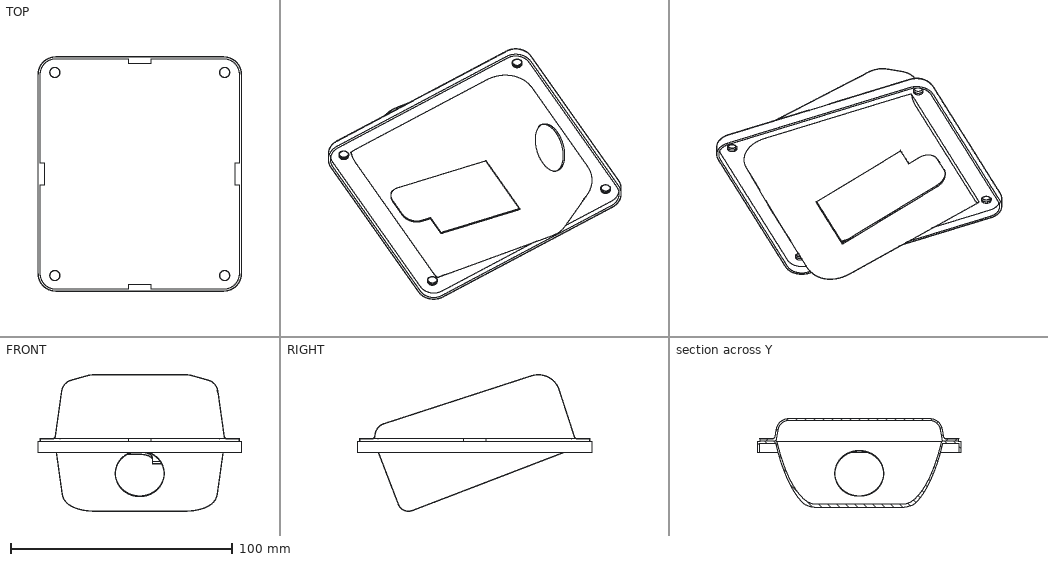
import cadquery as cq
import math

FLANGE_X = 91.9
FLANGE_Y = 105.9
FLANGE_THICKNESS = 5.0
FLANGE_CORNER_RADIUS = 8.0
PLATE_THICKNESS = 1.3
PLATE_INSET = 1.0
PLATE_TOP = FLANGE_THICKNESS + PLATE_THICKNESS
NOTCH_WIDTH = 10.0
NOTCH_DEPTH = 2.0
SCREW_HOLE_DIAMETER = 4.5
SCREW_HOLE_X = 38.3
SCREW_HOLE_Y = 45.9

WALL = 1.0
SIDE_DRAFT = math.tan(math.radians(8))

DOME_HALF_X = 38.3
DOME_HALF_Y = 45.3
DOME_FRONT_CHAMFER = 9.7
DOME_BACK_CHAMFER = 10.5
DOME_TILT = 18.0
ROOF_MID_HEIGHT = 26.4
DOME_BACK_RADIUS = 10.0
DOME_FRONT_RADIUS = 6.0
DOME_ROOT_RADIUS = 1.2

TUB_HALF_X = 37.7
TUB_FRONT_Y = -43.5
TUB_BACK_Y = 42.4
TUB_TILT = 21.0
FLOOR_ZERO_Y = 40.2
TUB_CORNER_RADIUS = 15.0
TUB_FLOOR_RADIUS = 5.0

CABLE_HOLE_DIAMETER = 22.0
CABLE_HOLE_Z = -9.6
FLOOR_OPENING_HALF_X = 14.8
FLOOR_OPENING_FRONT_Y = -14.8
FLOOR_OPENING_STEP_Y = 26.9
FLOOR_OPENING_BACK_Y = 38.1
FLOOR_OPENING_NARROW_X = 5.7
FLOOR_OPENING_CORNER_RADIUS = 6.4

BLANK_TOP = 47.7
BLANK_BOTTOM = -42.4
CUT_REACH = 211.8
TOLERANCE = 0.01


def rounded_slab(inset, bottom, thickness):
    """Rectangular slab with rounded corners, inset from the flange outline."""
    return (
        cq.Workplane("XY", origin=(0, 0, bottom))
        .rect(FLANGE_X - 2 * inset, FLANGE_Y - 2 * inset)
        .extrude(thickness)
        .edges("|Z")
        .fillet(FLANGE_CORNER_RADIUS - inset)
    )


def screw_holes():
    """Cylinders for the four screw holes through the flange and the plate."""
    return (
        cq.Workplane("XY")
        .rect(2 * SCREW_HOLE_X, 2 * SCREW_HOLE_Y, forConstruction=True)
        .vertices()
        .circle(SCREW_HOLE_DIAMETER / 2)
        .extrude(PLATE_TOP)
    )


def flat_sided_solid(lower, upper, lower_z, upper_z):
    """Solid with flat sides between two horizontal polygons that have matching parallel edges."""
    lower_points = [cq.Vector(x, y, lower_z) for x, y in lower]
    upper_points = [cq.Vector(x, y, upper_z) for x, y in upper]
    outlines = [lower_points, upper_points]
    for i in range(len(lower_points)):
        outlines.append([lower_points[i - 1], lower_points[i], upper_points[i], upper_points[i - 1]])
    faces = [cq.Face.makeFromWires(cq.Wire.makePolygon(outline, close=True)) for outline in outlines]
    return cq.Workplane(obj=cq.Solid.makeSolid(cq.Shell.makeShell(faces)))


def half_space(y, z, tilt, side):
    """Large block above (side = 1) or below (side = -1) a plane through (0, y, z) tilted about X."""
    block = cq.Workplane("XY").box(CUT_REACH, CUT_REACH, CUT_REACH)
    block = block.translate((0, 0, side * CUT_REACH / 2))
    return block.rotate((0, 0, 0), (1, 0, 0), tilt).translate((0, y, z))


def dome_outline(z, inset):
    """Chamfered rectangle of the dome at height z; the back leans more than the other sides."""
    height = z - PLATE_TOP
    x = DOME_HALF_X - inset - SIDE_DRAFT * height
    front = -DOME_HALF_Y + inset + SIDE_DRAFT * height
    back = DOME_HALF_Y - inset - math.tan(math.radians(DOME_TILT)) * height
    front_x = x - DOME_FRONT_CHAMFER
    back_x = x - DOME_BACK_CHAMFER
    front_side_y = front + DOME_FRONT_CHAMFER
    back_side_y = back - DOME_BACK_CHAMFER
    right_half = [(front_x, front), (x, front_side_y), (x, back_side_y), (back_x, back)]
    left_half = [(-x_right, y) for x_right, y in reversed(right_half)]
    return right_half + left_half


def dome_edges(dome, at_back):
    """Edges that rise above the footprint, either of the back or of the sides and the front."""
    kept = []
    for edge in dome.edges().vals():
        is_back = edge.Center().y > DOME_HALF_Y / 2
        if edge.BoundingBox().zmax > PLATE_TOP and is_back == at_back:
            kept.append(edge)
    return kept


def dome_solid(inset):
    """Filled dome from the plate underside up, with every side and the roof moved in by the inset."""
    bottom = FLANGE_THICKNESS
    roof = ROOF_MID_HEIGHT - inset / math.cos(math.radians(DOME_TILT))
    dome = flat_sided_solid(
        dome_outline(bottom, inset), dome_outline(BLANK_TOP, inset), bottom, BLANK_TOP
    )
    dome = dome.cut(half_space(0, roof, DOME_TILT, 1))
    dome = dome.newObject(dome_edges(dome, True)).fillet(DOME_BACK_RADIUS - inset)
    return dome.newObject(dome_edges(dome, False)).fillet(DOME_FRONT_RADIUS - inset)


def cut_notches(plate):
    """Cut a pry notch at the middle of each of the four plate edges."""
    edge_x = FLANGE_X / 2 - PLATE_INSET
    edge_y = FLANGE_Y / 2 - PLATE_INSET
    along_x = cq.Workplane("XY").box(NOTCH_WIDTH, 2 * NOTCH_DEPTH, CUT_REACH)
    along_y = cq.Workplane("XY").box(2 * NOTCH_DEPTH, NOTCH_WIDTH, CUT_REACH)
    for side in (-1, 1):
        plate = plate.cut(along_x.translate((0, side * edge_y, 0)))
        plate = plate.cut(along_y.translate((side * edge_x, 0, 0)))
    return plate


def make_cover():
    """Thin plate with a hollow sloped dome."""
    plate = rounded_slab(PLATE_INSET, FLANGE_THICKNESS, PLATE_THICKNESS)
    cover = plate.union(dome_solid(0))
    root_x = DOME_HALF_X + TOLERANCE
    root_y = DOME_HALF_Y + TOLERANCE
    root = cq.selectors.BoxSelector(
        (-root_x, -root_y, PLATE_TOP - TOLERANCE), (root_x, root_y, PLATE_TOP + TOLERANCE)
    )
    cover = cover.edges(root).fillet(DOME_ROOT_RADIUS)
    return cut_notches(cover.cut(dome_solid(WALL)).cut(screw_holes()))


def tub_outline(z, inset):
    """Rectangle of the tub at height z; the front leans with the floor and the back is upright."""
    x = TUB_HALF_X - inset + SIDE_DRAFT * z
    front = TUB_FRONT_Y + inset - math.tan(math.radians(TUB_TILT)) * z
    back = TUB_BACK_Y - inset
    return [(-x, front), (x, front), (x, back), (-x, back)]


def tub_solid(inset):
    """Filled tub from the flange top down, with every side and the floor moved in by the inset."""
    top = FLANGE_THICKNESS
    tilt = math.radians(TUB_TILT)
    floor_rise = inset / math.cos(tilt)
    tub = flat_sided_solid(
        tub_outline(BLANK_BOTTOM, inset), tub_outline(top, inset), BLANK_BOTTOM, top
    )
    tub = tub.cut(half_space(FLOOR_ZERO_Y, floor_rise, TUB_TILT, -1))
    front_corners = []
    for edge in tub.edges("not #Z").vals():
        if edge.Center().y < 0 and edge.BoundingBox().zmax > top - TOLERANCE:
            front_corners.append(edge)
    tub = tub.newObject(front_corners).fillet(TUB_CORNER_RADIUS - inset)
    floor_normal = cq.Vector(0, -math.sin(tilt), math.cos(tilt))
    floor = tub.faces(cq.selectors.DirectionMinMaxSelector(floor_normal, False))
    return floor.edges("not >Y").fillet(TUB_FLOOR_RADIUS - inset)


def cable_hole():
    """Cylinder square to the sloped front wall."""
    tilt = math.radians(TUB_TILT)
    wall_y = TUB_FRONT_Y - math.tan(tilt) * CABLE_HOLE_Z
    axis = cq.Vector(0, math.cos(tilt), math.sin(tilt))
    center = cq.Vector(0, wall_y, CABLE_HOLE_Z)
    margin = 3 * WALL
    cylinder = cq.Solid.makeCylinder(
        CABLE_HOLE_DIAMETER / 2, 2 * margin, center - axis * margin, axis
    )
    return cq.Workplane(obj=cylinder)


def floor_opening():
    """Stepped upright opening through the sloped floor, narrower at the back."""
    x = FLOOR_OPENING_HALF_X
    return (
        cq.Workplane("XY", origin=(0, 0, BLANK_BOTTOM))
        .moveTo(-x, FLOOR_OPENING_FRONT_Y)
        .lineTo(x, FLOOR_OPENING_FRONT_Y)
        .lineTo(x, FLOOR_OPENING_STEP_Y)
        .lineTo(FLOOR_OPENING_NARROW_X, FLOOR_OPENING_STEP_Y)
        .lineTo(FLOOR_OPENING_NARROW_X, FLOOR_OPENING_BACK_Y)
        .lineTo(-x, FLOOR_OPENING_BACK_Y)
        .close()
        .extrude(FLANGE_THICKNESS - BLANK_BOTTOM)
        .edges("|Z and >Y")
        .fillet(FLOOR_OPENING_CORNER_RADIUS)
    )


def make_base():
    """Thin flange with a skirt round its rim and a hollow sloped tub below it."""
    flange = rounded_slab(0, 0, FLANGE_THICKNESS)
    flange = flange.cut(rounded_slab(WALL, 0, FLANGE_THICKNESS - WALL))
    base = flange.union(tub_solid(0)).cut(tub_solid(WALL))
    return base.cut(cable_hole()).cut(floor_opening()).cut(screw_holes())


cover = make_cover()
base = make_base()
result = cq.Compound.makeCompound([*cover.vals(), *base.vals()])